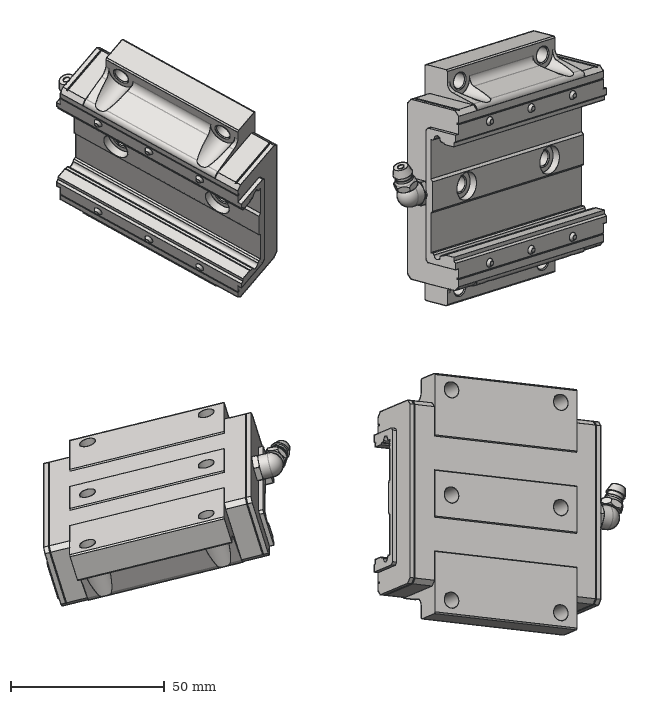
import cadquery as cq
import math


flange_length = 52.0
cap_length = 69.9
liner_length = 72.8
flange_half_width = 40.0
cap_half_width = 30.5
rail_face_depth = 23.0
cap_back_depth = 0.5
cap_chamfer = 1.6
cap_centre_y = -(rail_face_depth + cap_back_depth) / 2

flange_thickness = 9.9
flange_edge_chamfer = 0.5
flange_root_radius = 3.0
flange_root_start = 35.7
flange_nose_radius = 2.0
flank_angle = math.radians(12)
back_relief_inner = 7.6
back_relief_outer = 19.4
back_relief_bevel = 0.3

liner_back_depth = 9.9
liner_half_width = 22.8
liner_corner_chamfer = 0.9
channel_floor_depth = 12.1
channel_half_width = 19.15
lip_half_width = 18.7
lip_start_depth = 18.2
lip_bevel = 0.5
lip_rebate_depth = 22.2
lip_rebate_half_width = 20.0
lip_rebate_bevel = 0.6
raceway_depth = 14.9
raceway_radius = 1.3
raceway_mouth_width = 0.6
raceway_mouth_rise = 0.5
pad_half_width = 5.0
pad_depth = 12.95
pad_bevel = 0.8

hole_spacing = 40.0
hole_row_offset = 35.0
hole_diameter = 5.3
hole_mouth_diameter = 6.0
counterbore_diameter = 9.4
counterbore_depth = 2.8

plug_spacing = 20.0
plug_row_offset = 24.0
plug_base_radius = 1.5
plug_tip_radius = 0.8
plug_height = 1.0
face_groove_offset = 26.25
face_groove_width = 0.4
face_groove_depth = 0.8
seam_position = 33.2
seam_width = 0.3
seam_depth = 0.3

nipple_depth = 6.0
elbow_x = -40.15
elbow_radius = 4.0
elbow_hex_flats = 8.0
elbow_hex_chamfer = 0.25
elbow_hex_start = -36.9
nipple_tilt = 21.0
nipple_hex_flats = 7.0
nipple_hex_bottom = 3.2
nipple_hex_top = 5.6
nipple_hex_height = nipple_hex_top - nipple_hex_bottom
collar_base_radius = 3.45
collar_radius = 3.0
collar_bottom = 6.4
collar_top = 7.15
neck_radius = 2.7
head_bottom = 8.5
head_top = 11.3
head_base_radius = 3.3
head_tip_radius = 2.45
valve_radius = 1.1
valve_dome_height = 0.25

hole_columns = (-hole_spacing / 2, hole_spacing / 2)
sides = (-1, 1)


def extrude_along_rail(profile, length):
    """Extrude a closed (Y, Z) profile symmetrically along X."""
    return profile.close().extrude(length / 2, both=True)


def cylinder_from_back(x, z, radius, start_depth, end_depth):
    """Cylinder along Y between two depths."""
    base = cq.Workplane("XZ", origin=(x, -start_depth, z))
    return base.circle(radius).extrude(end_depth - start_depth)


def cone_from_back(x, z, radii, start_depth, end_depth):
    """Cone along Y whose start and end radii are the pair radii."""
    height = end_depth - start_depth
    start = cq.Vector(x, -start_depth, z)
    return cq.Workplane(cq.Solid.makeCone(*radii, height, start, cq.Vector(0, -1, 0)))


def chamfered_block(length, half_width):
    """Block between the cap back and the rail face with its long edges chamfered."""
    depth = rail_face_depth - cap_back_depth
    block = cq.Workplane("XY").box(length, depth, 2 * half_width)
    return block.edges("|X").chamfer(cap_chamfer).translate((0, cap_centre_y, 0))


def make_cap_block():
    """U-shaped body that surrounds the liner."""
    block = chamfered_block(cap_length, cap_half_width)
    inside_depth = rail_face_depth - liner_back_depth
    opening = cq.Workplane("XY").box(cap_length, inside_depth, 2 * liner_half_width)
    opening = opening.edges("|X and >Y").chamfer(liner_corner_chamfer)
    return block.cut(opening.translate((0, -(rail_face_depth + liner_back_depth) / 2, 0)))


def make_flange():
    """Flanged block: a drafted flank joins each flange to the rail face."""
    root_y = -(flange_thickness + flange_root_radius)
    nose_y = -(rail_face_depth - flange_nose_radius)

    def on_root(angle):
        return (
            root_y + flange_root_radius * math.sin(angle),
            flange_root_start - flange_root_radius * math.cos(angle),
        )

    def on_nose(angle):
        return (
            nose_y - flange_nose_radius * math.sin(angle),
            nose_z + flange_nose_radius * math.cos(angle),
        )

    root_end = on_root(flank_angle)
    nose_end_y = nose_y - flange_nose_radius * math.sin(flank_angle)
    nose_end_z = root_end[1] - (root_end[0] - nose_end_y) * math.tan(flank_angle)
    nose_z = nose_end_z - flange_nose_radius * math.cos(flank_angle)
    root_mid = on_root((flank_angle + math.pi / 2) / 2)
    nose_mid = on_nose((flank_angle + math.pi / 2) / 2)

    half = (
        cq.Workplane("YZ")
        .lineTo(0, flange_half_width - flange_edge_chamfer)
        .lineTo(-flange_edge_chamfer, flange_half_width)
        .lineTo(-flange_thickness + flange_edge_chamfer, flange_half_width)
        .lineTo(-flange_thickness, flange_half_width - flange_edge_chamfer)
        .lineTo(-flange_thickness, flange_root_start)
        .threePointArc(root_mid, root_end)
        .lineTo(nose_end_y, nose_end_z)
        .threePointArc(nose_mid, (-rail_face_depth, nose_z))
        .lineTo(-rail_face_depth, liner_half_width)
        .lineTo(-liner_back_depth, liner_half_width)
        .lineTo(-liner_back_depth, 0)
    )
    half = extrude_along_rail(half, flange_length)
    relief = (
        cq.Workplane("YZ")
        .moveTo(0, back_relief_inner)
        .lineTo(-cap_back_depth, back_relief_inner + back_relief_bevel)
        .lineTo(-cap_back_depth, back_relief_outer - back_relief_bevel)
        .lineTo(0, back_relief_outer)
    )
    half = half.cut(extrude_along_rail(relief, flange_length))
    return half.union(half.mirror("XY"))


def make_liner():
    """Channel liner with one raceway groove in each lip and a raised centre pad."""
    mouth_half_width = raceway_radius + raceway_mouth_width
    raceway_edge = channel_half_width + raceway_mouth_rise
    half = (
        cq.Workplane("YZ")
        .moveTo(-liner_back_depth, 0)
        .lineTo(-liner_back_depth, liner_half_width - liner_corner_chamfer)
        .lineTo(-liner_back_depth - liner_corner_chamfer, liner_half_width)
        .lineTo(-rail_face_depth, liner_half_width)
        .lineTo(-rail_face_depth, lip_rebate_half_width + lip_rebate_bevel)
        .lineTo(-lip_rebate_depth, lip_rebate_half_width)
        .lineTo(-lip_rebate_depth, lip_half_width)
        .lineTo(-lip_start_depth, lip_half_width)
        .lineTo(-lip_start_depth + lip_bevel, channel_half_width)
        .lineTo(-raceway_depth - mouth_half_width, channel_half_width)
        .lineTo(-raceway_depth - raceway_radius, raceway_edge)
        .threePointArc(
            (-raceway_depth, raceway_edge + raceway_radius),
            (-raceway_depth + raceway_radius, raceway_edge),
        )
        .lineTo(-raceway_depth + mouth_half_width, channel_half_width)
        .lineTo(-channel_floor_depth, channel_half_width)
        .lineTo(-channel_floor_depth, pad_half_width + pad_bevel)
        .lineTo(-pad_depth, pad_half_width)
        .lineTo(-pad_depth, 0)
    )
    half = extrude_along_rail(half, liner_length)
    return half.union(half.mirror("XY"))


def cut_bolt_hole(body, x, z, seat_depth, head_end_depth):
    """Chamfer-mouthed hole with a flat seat cleared for the bolt head."""
    hole_radius = hole_diameter / 2
    mouth_radius = hole_mouth_diameter / 2
    mouth_end = seat_depth - (mouth_radius - hole_radius)
    body = body.cut(cylinder_from_back(x, z, counterbore_diameter / 2, seat_depth, head_end_depth))
    body = body.cut(cylinder_from_back(x, z, hole_radius, 0, seat_depth))
    return body.cut(cone_from_back(x, z, (hole_radius, mouth_radius), mouth_end, seat_depth))


def cut_bolt_holes(body):
    """Four flange holes and two counterbored holes through the centre pad."""
    for x in hole_columns:
        body = cut_bolt_hole(body, x, 0, pad_depth - counterbore_depth, pad_depth)
        for side in sides:
            body = cut_bolt_hole(body, x, side * hole_row_offset, flange_thickness, rail_face_depth)
    return body


def cut_thin_grooves(body):
    """Seal grooves in the rail face and seams where the end caps meet the block."""
    seam = chamfered_block(seam_width, cap_half_width)
    seam_floor = chamfered_block(seam_width, cap_half_width - seam_depth)
    seam = seam.cut(seam_floor.translate((0, -seam_depth, 0)))
    for side in sides:
        face_groove = cq.Workplane("XY").box(cap_length, 2 * face_groove_depth, face_groove_width)
        body = body.cut(face_groove.translate((0, -rail_face_depth, side * face_groove_offset)))
        body = body.cut(seam.translate((side * seam_position, 0, 0)))
    return body


def add_plugs(body):
    """Tapered plug heads in two rows on the rail face."""
    tip_depth = rail_face_depth + plug_height
    for column in (-1, 0, 1):
        for side in sides:
            plug = cone_from_back(
                column * plug_spacing,
                side * plug_row_offset,
                (plug_base_radius, plug_tip_radius),
                rail_face_depth,
                tip_depth,
            )
            body = body.union(plug)
    return body


def hexagon_corner_radius(across_flats):
    """Distance from the centre of a hexagon to its corners."""
    return across_flats / 2 / math.cos(math.pi / 6)


def hexagon(workplane, across_flats):
    """Hexagon outline with two corners on the local x axis."""
    return workplane.polygon(6, 2 * hexagon_corner_radius(across_flats))


def make_elbow():
    """Hex base and round body of the elbow, along X."""
    base_end = -cap_length / 2
    hex_length = base_end - elbow_hex_start
    hex_plane = cq.Workplane("YZ", origin=(elbow_hex_start, -nipple_depth, 0))
    blank = hex_plane.circle(hexagon_corner_radius(elbow_hex_flats)).extrude(hex_length)
    blank = blank.faces("<X").edges().chamfer(elbow_hex_chamfer)
    base = hexagon(hex_plane, elbow_hex_flats).extrude(hex_length).intersect(blank)
    body_plane = cq.Workplane("YZ", origin=(elbow_x, -nipple_depth, 0))
    body = body_plane.circle(elbow_radius).extrude(base_end - elbow_x)
    return base.union(body)


def make_nipple_head():
    """Ball end and turned nipple built upright on the Z axis, then tilted about the ball centre."""
    ball_end_radius = math.sqrt(elbow_radius**2 - nipple_hex_bottom**2)
    dome_rim = head_top - valve_dome_height
    dome_radius = (valve_radius**2 + valve_dome_height**2) / (2 * valve_dome_height)
    dome_mid_x = valve_radius / 2
    dome_mid_z = head_top - dome_radius + math.sqrt(dome_radius**2 - dome_mid_x**2)
    turned = (
        cq.Workplane("XZ")
        .moveTo(0, -elbow_radius)
        .threePointArc((elbow_radius, 0), (ball_end_radius, nipple_hex_bottom))
        .lineTo(collar_base_radius, nipple_hex_top)
        .lineTo(collar_radius, collar_bottom)
        .lineTo(collar_radius, collar_top)
        .lineTo(neck_radius, collar_top)
        .lineTo(neck_radius, head_bottom)
        .lineTo(head_base_radius, head_bottom)
        .lineTo(head_tip_radius, head_top)
        .lineTo(valve_radius, head_top)
        .lineTo(valve_radius, dome_rim)
        .threePointArc((dome_mid_x, dome_mid_z), (0, head_top))
        .close()
        .revolve(360, (0, 0, 0), (0, 1, 0))
    )
    hex_plane = cq.Workplane("XY", origin=(0, 0, nipple_hex_bottom))
    nut = hexagon(hex_plane, nipple_hex_flats).extrude(nipple_hex_height)
    corner_radius = hexagon_corner_radius(nipple_hex_flats)
    nut_blank = hex_plane.circle(corner_radius).extrude(nipple_hex_height)
    nut = nut.intersect(nut_blank.edges().chamfer(corner_radius - collar_base_radius))
    head = turned.union(nut).rotate((0, 0, 0), (0, 1, 0), -nipple_tilt)
    return head.translate((elbow_x, -nipple_depth, 0))


carriage = make_cap_block().union(make_flange()).union(make_liner())
carriage = cut_bolt_holes(carriage)
carriage = cut_thin_grooves(carriage)
carriage = add_plugs(carriage)
result = carriage.union(make_elbow()).union(make_nipple_head())